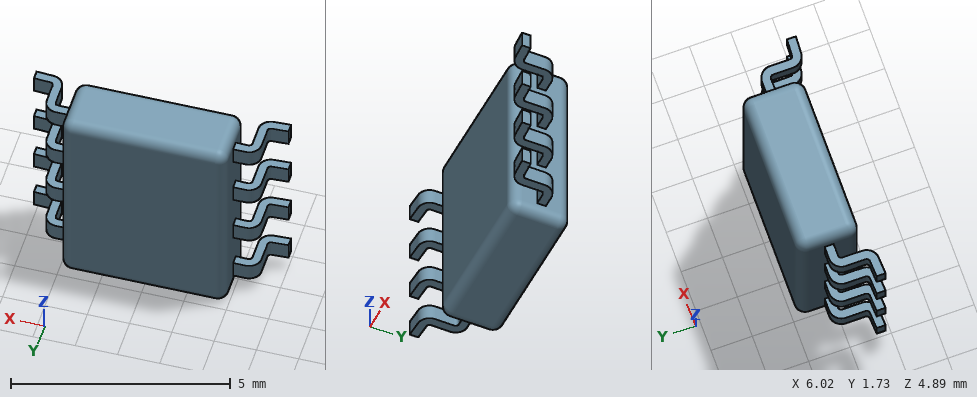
import cadquery as cq
import math

HOUSING_WIDTH = 3.9
HOUSING_DEPTH = 1.485
HOUSING_HEIGHT = 4.89
HOUSING_ROUNDING = 0.25
OVERALL_DEPTH = 1.73

LEADS_PER_SIDE = 4
LEAD_PITCH = 1.27
LEAD_WIDTH = 0.42
LEAD_THICKNESS = 0.215
LEAD_SPAN = 6.02
SHANK_TO_TIP = 0.47
STANDOFF = OVERALL_DEPTH - HOUSING_DEPTH
FOOT_SLOPE = math.radians(3)
INNER_BEND_RADIUS = 0.08
OUTER_BEND_RADIUS = INNER_BEND_RADIUS + LEAD_THICKNESS


def make_housing():
    block = cq.Workplane("XY").box(HOUSING_WIDTH, HOUSING_DEPTH, HOUSING_HEIGHT)
    return block.edges().fillet(HOUSING_ROUNDING)


def point_on_circle(center, radius, angle):
    return (center[0] + radius * math.cos(angle), center[1] + radius * math.sin(angle))


def make_right_lead():
    """Lead on the +X side, centred on Z = 0, starting flush on the housing wall."""
    root_x = HOUSING_WIDTH / 2
    tip_x = LEAD_SPAN / 2
    tip_bottom_y = -HOUSING_DEPTH / 2 - STANDOFF
    half_thickness = LEAD_THICKNESS / 2
    shank_outer_x = tip_x - SHANK_TO_TIP
    shank_inner_x = shank_outer_x - LEAD_THICKNESS

    shoulder = (shank_inner_x - INNER_BEND_RADIUS, -half_thickness - INNER_BEND_RADIUS)
    shoulder_middle = math.radians(45)

    heel_end = math.radians(270) - FOOT_SLOPE
    heel_middle = (math.pi + heel_end) / 2
    heel_x = shank_outer_x + INNER_BEND_RADIUS
    foot_run = tip_x - heel_x + OUTER_BEND_RADIUS * math.sin(FOOT_SLOPE)
    heel_y = tip_bottom_y + foot_run * math.tan(FOOT_SLOPE) + OUTER_BEND_RADIUS * math.cos(FOOT_SLOPE)
    heel = (heel_x, heel_y)
    tip_top_y = tip_bottom_y + LEAD_THICKNESS / math.cos(FOOT_SLOPE)

    profile = (
        cq.Workplane("XY", origin=(0, 0, -LEAD_WIDTH / 2))
        .moveTo(root_x, half_thickness)
        .lineTo(shoulder[0], half_thickness)
        .threePointArc(
            point_on_circle(shoulder, OUTER_BEND_RADIUS, shoulder_middle),
            (shank_outer_x, shoulder[1]),
        )
        .lineTo(shank_outer_x, heel_y)
        .threePointArc(
            point_on_circle(heel, INNER_BEND_RADIUS, heel_middle),
            point_on_circle(heel, INNER_BEND_RADIUS, heel_end),
        )
        .lineTo(tip_x, tip_top_y)
        .lineTo(tip_x, tip_bottom_y)
        .lineTo(*point_on_circle(heel, OUTER_BEND_RADIUS, heel_end))
        .threePointArc(
            point_on_circle(heel, OUTER_BEND_RADIUS, heel_middle),
            (shank_inner_x, heel_y),
        )
        .lineTo(shank_inner_x, shoulder[1])
        .threePointArc(
            point_on_circle(shoulder, INNER_BEND_RADIUS, shoulder_middle),
            (shoulder[0], -half_thickness),
        )
        .lineTo(root_x, -half_thickness)
        .close()
    )
    return profile.extrude(LEAD_WIDTH)


def make_leads():
    right_lead = make_right_lead()
    left_lead = right_lead.mirror("YZ")
    leads = []
    for index in range(LEADS_PER_SIDE):
        lead_z = (index - (LEADS_PER_SIDE - 1) / 2) * LEAD_PITCH
        for lead in (left_lead, right_lead):
            leads.append(lead.translate((0, 0, lead_z)).val())
    return leads


housing = make_housing()
leads = make_leads()
result = cq.Compound.makeCompound([housing.val(), *leads])